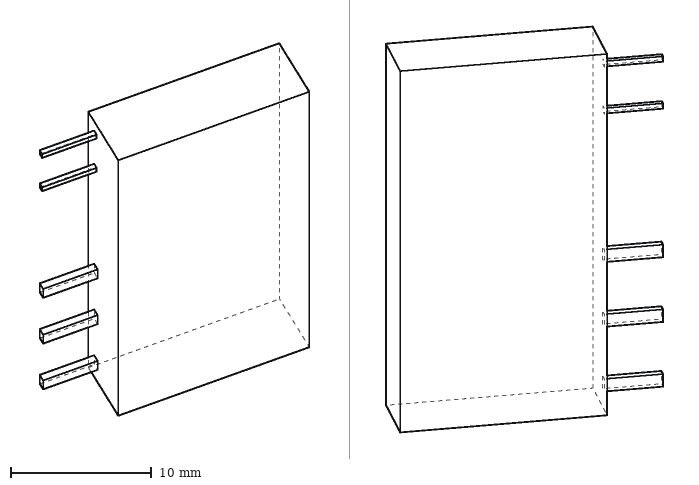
import cadquery as cq

body_thickness = 5.0
body_depth = 15.0
body_height = 28.0

pin_length = 4.28
pin_side_offset = 1.0

contact_width = 0.6
contact_height = 0.98
contact_first_z = 1.9
contact_pitch = 5.0
contact_count = 3

coil_size = 0.42
coil_top_offset = 1.2
coil_pitch = 3.65
coil_count = 2


def make_pin(width, height, center_z):
    """Rectangular pin running from the -Y face of the housing toward -Y."""
    pin = cq.Workplane("XY").box(width, pin_length, height, centered=(False, False, True))
    return pin.translate((pin_side_offset, -pin_length, center_z))


result = cq.Workplane("XY").box(body_thickness, body_depth, body_height, centered=False)

for index in range(contact_count):
    contact_z = contact_first_z + index * contact_pitch
    result = result.union(make_pin(contact_width, contact_height, contact_z))

for index in range(coil_count):
    coil_z = body_height - coil_top_offset - index * coil_pitch
    result = result.union(make_pin(coil_size, coil_size, coil_z))